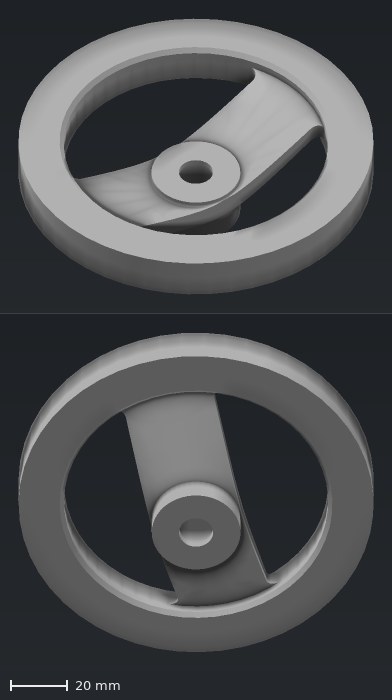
import cadquery as cq

rim_radius = 62.5
rim_inner_radius = 46.5
rim_thickness = 15.0
rim_chamfer = 1.5

hub_radius = 15.6
bore_diameter = 12.0
hub_top = 18.0
rim_bottom = hub_top
total_height = rim_bottom + rim_thickness

spoke_half_width = 16.0
web_lower_slope = 0.46
web_upper_slope = 0.41
web_lower_start = 8.9
web_upper_start = 15.9
hub_fillet = 0.8
web_overlap = 0.6
corner_margin = 0.1
window_fillet = 3.0


def revolved(points):
    """Revolve an (R, Z) outline about the Z axis."""
    return cq.Workplane("XZ").polyline(points).close().revolve(360, (0, 0), (0, 1))


def make_rim():
    """Ring with both inner edges chamfered."""
    return revolved([
        (rim_inner_radius, rim_bottom + rim_chamfer),
        (rim_inner_radius + rim_chamfer, rim_bottom),
        (rim_radius, rim_bottom),
        (rim_radius, total_height),
        (rim_inner_radius + rim_chamfer, total_height),
        (rim_inner_radius, total_height - rim_chamfer),
    ])


def make_web():
    """Hub and conical web reaching slightly into the rim."""
    web_radius = rim_inner_radius + web_overlap
    lower_end = web_lower_start + web_lower_slope * (web_radius - hub_radius)
    upper_end = web_upper_start + web_upper_slope * (web_radius - hub_radius)
    web = revolved([
        (0, 0),
        (hub_radius, 0),
        (hub_radius, web_lower_start),
        (web_radius, lower_end),
        (web_radius, upper_end),
        (hub_radius, web_upper_start),
        (hub_radius, hub_top),
        (0, hub_top),
    ])
    upper_corner = cq.selectors.BoxSelector(
        (-rim_radius, -rim_radius, web_upper_start - corner_margin),
        (rim_radius, rim_radius, web_upper_start + corner_margin),
    )
    return web.edges("%CIRCLE").edges(upper_corner).fillet(hub_fillet)


def make_window(side):
    """Opening between the spokes and the rim; side is +1 or -1 along X."""
    width = rim_radius - spoke_half_width
    block = (
        cq.Workplane("XY")
        .center(side * (spoke_half_width + width / 2), 0)
        .rect(width, 2 * rim_radius)
        .extrude(total_height)
    )
    disc = cq.Workplane("XY").circle(rim_inner_radius).extrude(total_height)
    return disc.intersect(block).edges("|Z").fillet(window_fillet)


web = make_web()
for side in (-1, 1):
    web = web.cut(make_window(side))

bore = cq.Workplane("XY").circle(bore_diameter / 2).extrude(total_height)

result = make_rim().union(web).cut(bore)